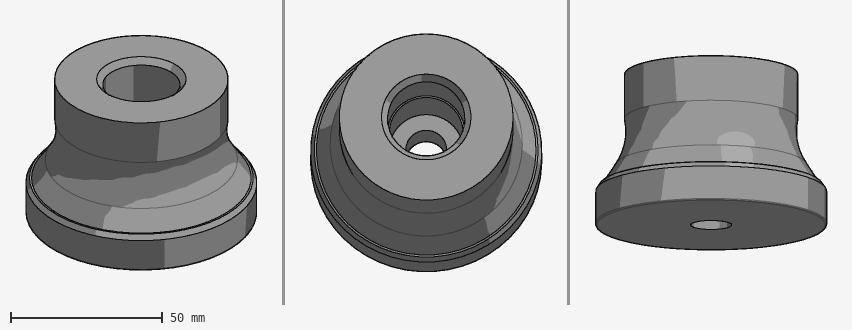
import cadquery as cq

height = 50.8
foot_diameter = 76.15
foot_height = 13.2

foot_rim_diameter = 73.7
foot_chamfer_height = 1.75
foot_bottom_fillet = 0.45
bolt_hole_diameter = 13.5

body_base_diameter = 72.3
cone_top_diameter = 63.35
cone_top_z = 19.95
collar_diameter = 57.2
collar_height = 15.1

bore_diameter = 25.4
bore_mouth_diameter = 29.5
bore_mouth_depth = 2.05
bore_depth = 18.05
lower_bore_diameter = 24.3


def make_foot():
    """Round foot with a chamfered top rim and a central bolt hole."""
    foot_radius = foot_diameter / 2
    profile = (
        cq.Workplane("XZ")
        .lineTo(foot_radius, 0)
        .lineTo(foot_radius, foot_height - foot_chamfer_height)
        .lineTo(foot_rim_diameter / 2, foot_height)
        .lineTo(0, foot_height)
        .close()
    )
    foot = profile.revolve(360, (0, 0, 0), (0, 1, 0))
    foot = foot.faces("<Z").edges().fillet(foot_bottom_fillet)
    return foot.faces(">Z").workplane().hole(bolt_hole_diameter)


def make_body():
    """Flared body with a concave neck, a straight collar and a stepped bore."""
    collar_radius = collar_diameter / 2
    bore_radius = bore_diameter / 2
    lower_bore_radius = lower_bore_diameter / 2
    bore_step_z = height - bore_depth
    profile = (
        cq.Workplane("XZ")
        .moveTo(lower_bore_radius, foot_height)
        .lineTo(body_base_diameter / 2, foot_height)
        .lineTo(cone_top_diameter / 2, cone_top_z)
        .tangentArcPoint((collar_radius, height - collar_height), relative=False)
        .lineTo(collar_radius, height)
        .lineTo(bore_mouth_diameter / 2, height)
        .lineTo(bore_radius, height - bore_mouth_depth)
        .lineTo(bore_radius, bore_step_z)
        .lineTo(lower_bore_radius, bore_step_z)
        .close()
    )
    return profile.revolve(360, (0, 0, 0), (0, 1, 0))


foot = make_foot()
body = make_body()

result = cq.Compound.makeCompound([foot.val(), body.val()])